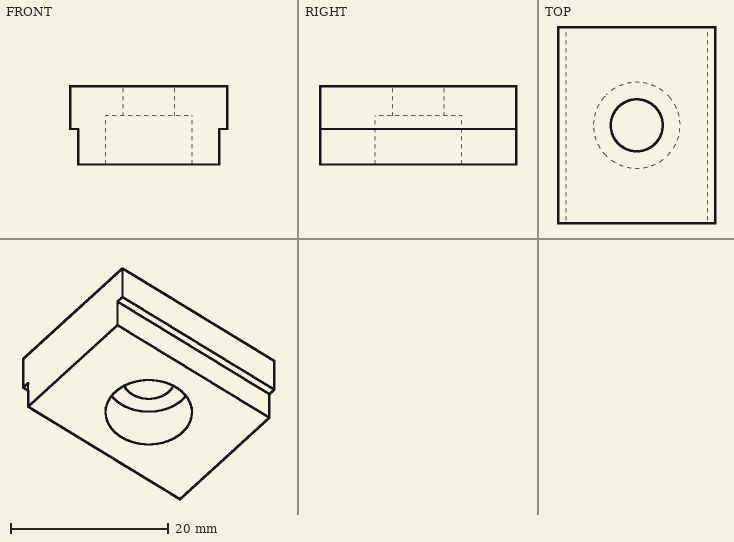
import cadquery as cq

width = 20.0
length = 25.0
height = 10.0

body_width = 18.0
body_height = 4.5
head_height = height - body_height

hole_diameter = 6.6
counterbore_diameter = 11.0
counterbore_depth = 6.25

body = cq.Workplane("XY").box(body_width, length, body_height, centered=(True, True, False))
head = (
    cq.Workplane("XY")
    .workplane(offset=body_height)
    .box(width, length, head_height, centered=(True, True, False))
)
hole = cq.Workplane("XY").circle(hole_diameter / 2).extrude(height)
counterbore = cq.Workplane("XY").circle(counterbore_diameter / 2).extrude(counterbore_depth)

result = body.union(head).cut(hole).cut(counterbore)